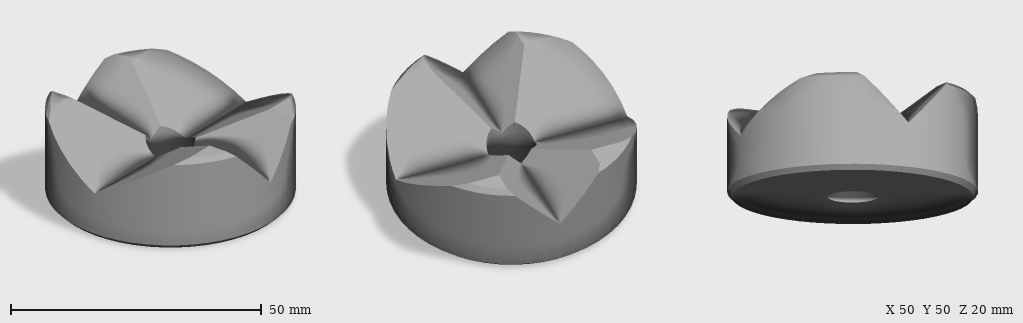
import cadquery as cq
import math

diameter = 50
height = 20
edge_chamfer = 1
bore_diameter = 10

groove_depth = height / 2
wide_groove_included_angle = 120
narrow_groove_included_angle = 90


def v_groove(plane, included_angle):
    """Triangular cutter centred on the axis, running the full width of the disc."""
    half_width = groove_depth * math.tan(math.radians(included_angle / 2))
    profile = [
        (0, height - groove_depth),
        (half_width, height),
        (-half_width, height),
    ]
    return cq.Workplane(plane).polyline(profile).close().extrude(diameter, both=True)


blank = cq.Workplane("XY").circle(diameter / 2).extrude(height)
blank = blank.faces("<Z or >Z").edges().chamfer(edge_chamfer)

bore = cq.Workplane("XY").circle(bore_diameter / 2).extrude(height)

result = (
    blank.cut(v_groove("XZ", wide_groove_included_angle))
    .cut(v_groove("YZ", narrow_groove_included_angle))
    .cut(bore)
)